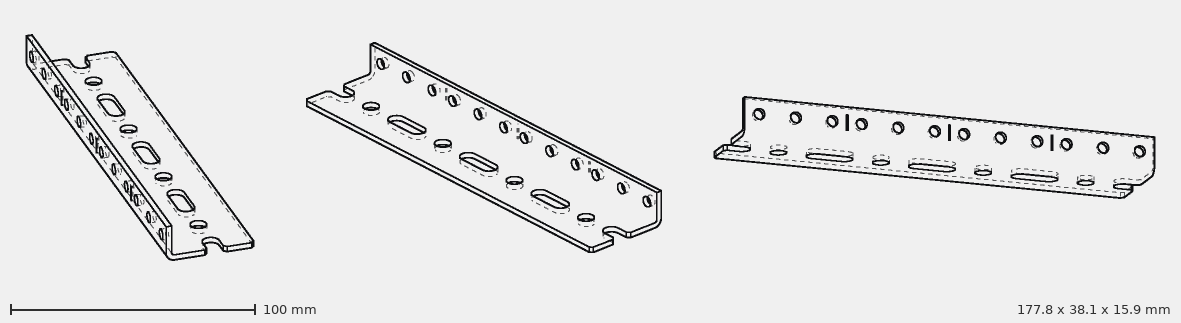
import cadquery as cq

pitch = 44.45
segments = 4
width = 38.1
height = 15.875
thickness = 2.4
bend_inner_radius = 1.23
corner_chamfer = 1.27

base_hole_diameter = 6.76
slot_width = 7.14
slot_length = 19.84
slot_row_y = 21.43

upright_hole_diameter = 4.5
upright_hole_spacing = 15.875
upright_hole_drop = 6.6

mark_width = 0.6
mark_height = 6.35
mark_depth = 0.5

length = pitch * segments
bend_outer_radius = bend_inner_radius + thickness
upright_row_z = height - upright_hole_drop
segment_centres = [(i - (segments - 1) / 2) * pitch for i in range(segments)]
segment_joints = [(i - segments / 2) * pitch for i in range(segments + 1)]


def bent_sheet():
    """L-shaped sheet: base on Z = 0, upright with its outer face on Y = 0."""
    profile = (
        cq.Workplane("YZ")
        .moveTo(0, height)
        .lineTo(0, bend_outer_radius)
        .radiusArc((bend_outer_radius, 0), -bend_outer_radius)
        .lineTo(width, 0)
        .lineTo(width, thickness)
        .lineTo(bend_outer_radius, thickness)
        .radiusArc((thickness, bend_outer_radius), bend_inner_radius)
        .lineTo(thickness, height)
        .close()
    )
    return profile.extrude(length / 2, both=True)


def base_slots():
    """Slots centred on every joint; the outermost two become open end notches."""
    return (
        cq.Workplane("XY")
        .pushPoints([(x, slot_row_y) for x in segment_joints])
        .slot2D(slot_length, slot_width)
        .extrude(thickness)
    )


def base_holes():
    """One round hole in the middle of each segment."""
    return (
        cq.Workplane("XY")
        .pushPoints([(x, slot_row_y) for x in segment_centres])
        .circle(base_hole_diameter / 2)
        .extrude(thickness)
    )


def upright_holes():
    """Three round holes through the upright in each segment."""
    offsets = (-upright_hole_spacing, 0, upright_hole_spacing)
    centres = [(x + dx, upright_row_z) for x in segment_centres for dx in offsets]
    return (
        cq.Workplane("XZ")
        .pushPoints(centres)
        .circle(upright_hole_diameter / 2)
        .extrude(-thickness)
    )


def score_marks():
    """Shallow vertical grooves on the outer face at the inner joints."""
    return (
        cq.Workplane("XZ")
        .pushPoints([(x, upright_row_z) for x in segment_joints[1:-1]])
        .rect(mark_width, mark_height)
        .extrude(-mark_depth)
    )


def bevel_free_corners(body):
    """Bevel the back corners of the base and the mouths of the end notches."""
    base_region = cq.selectors.BoxSelector(
        (-length, bend_outer_radius, -thickness),
        (length, 2 * width, 2 * thickness),
    )
    end_faces = body.faces("<X or >X")
    return end_faces.edges("|Z").edges(base_region).chamfer(corner_chamfer)


result = bent_sheet().cut(base_slots())
result = bevel_free_corners(result)
result = result.cut(base_holes()).cut(upright_holes()).cut(score_marks())